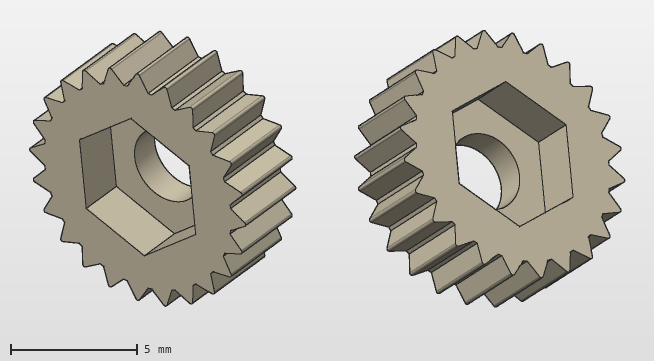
import cadquery as cq
import math

outer_radius = 5.2
root_radius = 4.5
thickness = 3.5
tooth_count = 24
tooth_tip_angle = 63.5
crest_round = 0.1
bore_diameter = 3.2
hex_across_flats = 5.3
hex_depth = 2.1
hex_turn = 6.1

half_pitch = math.radians(180 / tooth_count)
half_tip = math.radians(tooth_tip_angle / 2)
sharp_tip_radius = outer_radius + crest_round * (1 / math.sin(half_tip) - 1)
tooth_half_span = math.asin(sharp_tip_radius * math.sin(half_tip) / root_radius) - half_tip


def polar(radius, angle):
    """Point in the XZ plane at an angle measured clockwise from +Z."""
    return (radius * math.sin(angle), radius * math.cos(angle))


def crest_points(tooth_angle):
    """Start, middle and end of the crest arc, which is tangent to both flanks."""
    centre_x, centre_z = polar(outer_radius - crest_round, tooth_angle)
    tangent_turn = math.pi / 2 - half_tip
    points = []
    for turn in (-tangent_turn, 0, tangent_turn):
        offset_x, offset_z = polar(crest_round, tooth_angle + turn)
        points.append((centre_x + offset_x, centre_z + offset_z))
    return points


def toothed_blank():
    """Solid wheel from Y = 0 to Y = thickness."""
    outline = cq.Workplane("XZ").moveTo(*polar(root_radius, -tooth_half_span))
    for tooth in range(tooth_count):
        tooth_angle = 2 * tooth * half_pitch
        crest_start, crest_middle, crest_end = crest_points(tooth_angle)
        root_start = polar(root_radius, tooth_angle + tooth_half_span)
        root_middle = polar(root_radius, tooth_angle + half_pitch)
        root_end = polar(root_radius, tooth_angle + 2 * half_pitch - tooth_half_span)
        outline = outline.lineTo(*crest_start).threePointArc(crest_middle, crest_end)
        outline = outline.lineTo(*root_start).threePointArc(root_middle, root_end)
    return outline.close().extrude(-thickness)


def hex_pocket():
    """Hexagonal nut pocket sunk from the -Y face."""
    corner_diameter = hex_across_flats / math.cos(math.pi / 6)
    pocket = cq.Workplane("XZ").polygon(6, corner_diameter).extrude(-hex_depth)
    corner_up_turn = 30
    return pocket.rotate((0, 0, 0), (0, 1, 0), -(corner_up_turn + hex_turn))


def bore():
    """Round hole through the full thickness."""
    return cq.Workplane("XZ").circle(bore_diameter / 2).extrude(-thickness)


result = toothed_blank().cut(hex_pocket()).cut(bore())